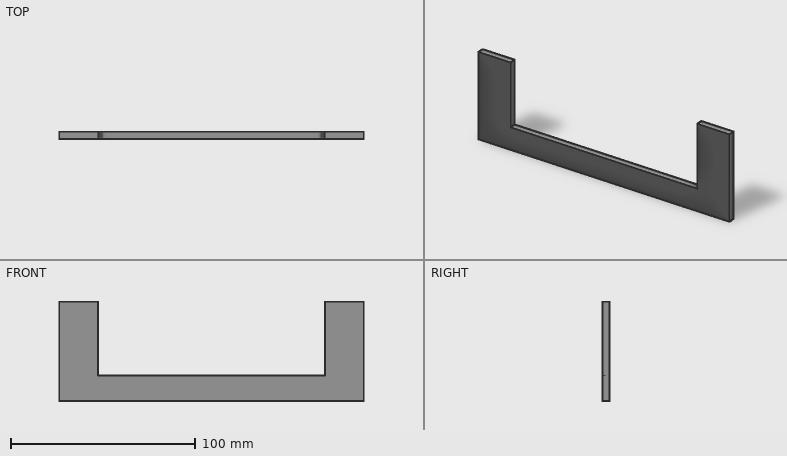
import cadquery as cq

length = 165.46
height = 54.0
thickness = 4.0
arm_width = 21.23
bar_height = 14.0

opening_width = length - 2 * arm_width
opening_depth = height - bar_height


def make_plate():
    """Full rectangular plate, centred in X and Y, standing on Z = 0."""
    return cq.Workplane("XY").box(length, thickness, height, centered=(True, True, False))


def make_opening():
    """Block that clears the space between the arms through the thickness."""
    block = cq.Workplane("XY").box(
        opening_width, thickness, opening_depth, centered=(True, True, False)
    )
    return block.translate((0, 0, bar_height))


result = make_plate().cut(make_opening())